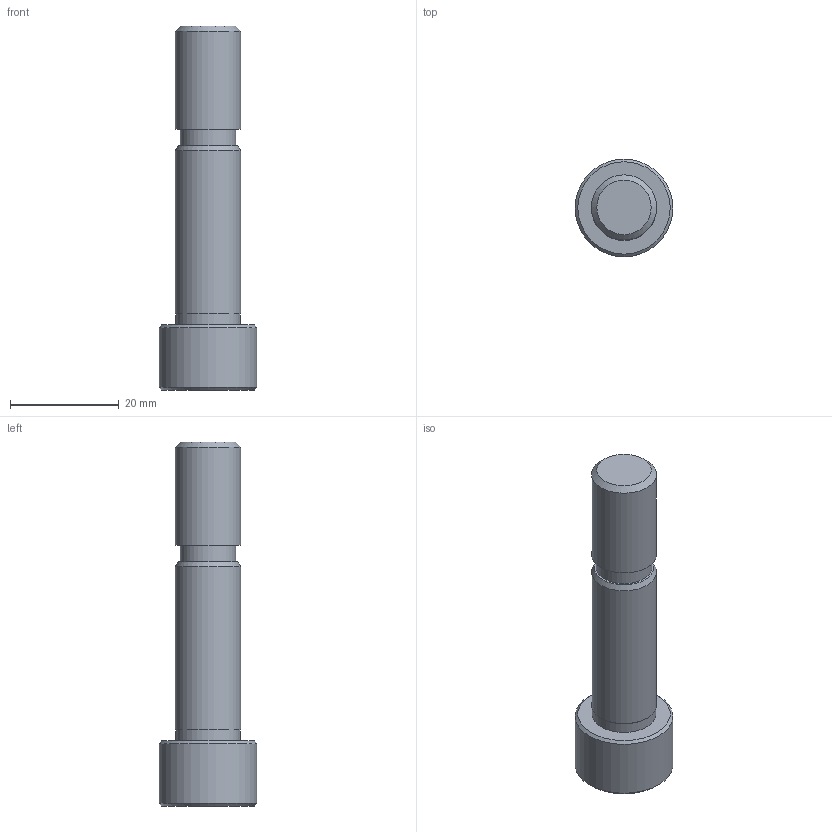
import cadquery as cq

head_diameter = 18.0
head_height = 12.0
head_chamfer = 0.5

shank_diameter = 12.0
total_length = 67.0
tip_chamfer = 1.0

relief_diameter = 11.8
relief_width = 2.0
relief_top = head_height + relief_width

groove_diameter = 10.25
groove_width = 3.0
groove_top = 48.0
groove_bottom = groove_top - groove_width
shoulder_chamfer_height = 1.0
shoulder_chamfer_depth = 0.5


def cylinder(diameter, bottom, top):
    """Solid cylinder on the Z axis between two heights."""
    return cq.Workplane("XY").workplane(offset=bottom).circle(diameter / 2).extrude(top - bottom)


def make_head():
    """Cylindrical head, chamfered on both rims."""
    return cylinder(head_diameter, 0, head_height).edges("%CIRCLE").chamfer(head_chamfer)


def make_lower_shank():
    """Full-diameter shank from the relief up to the chamfered groove shoulder."""
    shank = cylinder(shank_diameter, relief_top, groove_bottom)
    return shank.faces(">Z").edges().chamfer(shoulder_chamfer_height, shoulder_chamfer_depth)


def make_upper_shank():
    """Full-diameter shank above the groove, chamfered at the tip."""
    shank = cylinder(shank_diameter, groove_top, total_length)
    return shank.faces(">Z").edges().chamfer(tip_chamfer)


relief_neck = cylinder(relief_diameter, head_height, relief_top)
groove_neck = cylinder(groove_diameter, groove_bottom, groove_top)

result = (
    make_head()
    .union(relief_neck)
    .union(make_lower_shank())
    .union(groove_neck)
    .union(make_upper_shank())
)